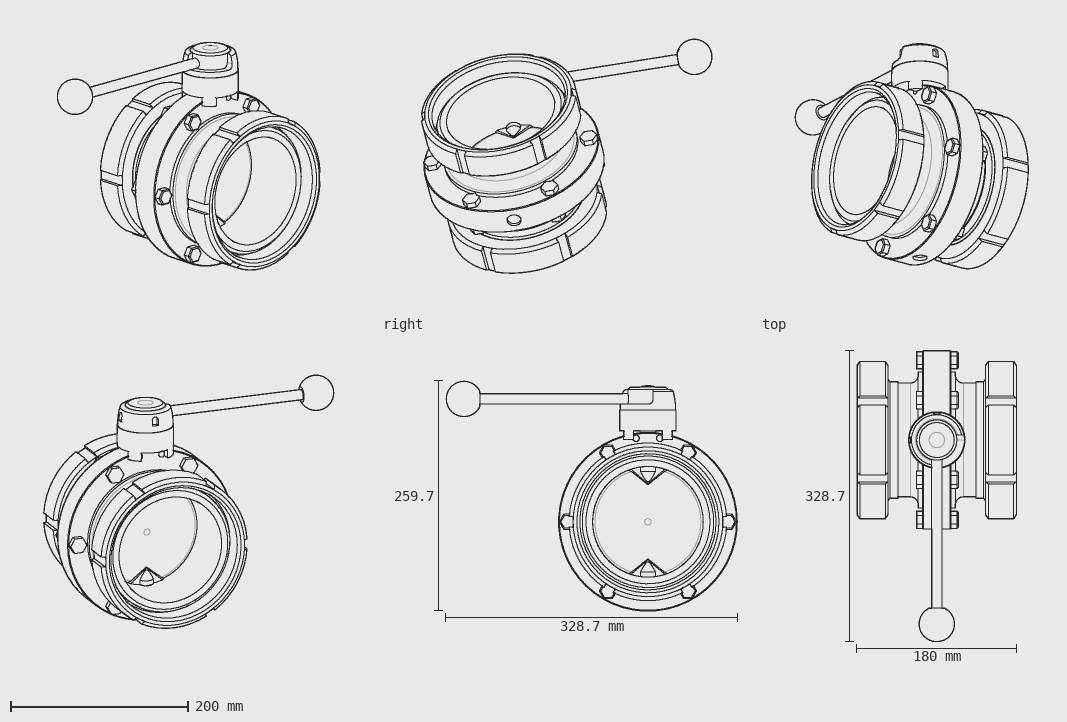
import cadquery as cq
import math


bore_radius = 62.5
flange_radius = 101.0
flange_width = 32.2
flange_edge_chamfer = 1.0
hub_radius = 77.0
hub_half_width = 21.0
neck_radius = 64.5
neck_shoulder_rise = 9.0
neck_start = 30.0
neck_end = 44.0

bolt_count = 6
bolt_circle_radius = 90.0
bolt_across_corners = 19.7
bolt_head_height = 6.5
bolt_nut_height = 8.2
bolt_nut_bevel = 1.3

cross_hole_diameter = 7.2
cross_hole_y = 13.5
cross_hole_z = 94.5

valve_half_length = 90.0
pipe_radius = 66.0
pipe_end = 53.0
collar_neck_radius = 137.0 / 2
collar_radius = 74.3
collar_face_radius = 70.0
collar_face_x = 75.3
nut_length = 35.2
nut_outer_radius = 89.0
nut_face_radius = 84.5
nut_chamfer_length = 3.3
nut_thread_radius = 77.0
nut_mouth_radius = 80.2
nut_back_bore_radius = 69.0
nut_back_wall = 9.5
nut_slot_count = 6
nut_slot_width = 11.8
nut_back_x = valve_half_length - nut_length
nut_shoulder_x = nut_back_x + nut_back_wall

disc_face_radius = 59.8
disc_rim_half_width = 1.0
disc_edge_half_width = 2.0
disc_crown_half_width = 4.5
disc_crown_radius = 3.5
stem_radius = 18.0 / 2
stem_top_z = 125.0
lower_stem_radius = 8.0
lower_stem_end_z = 97.0
boss_tip_z = 41.7
boss_cone_z = 56.5
boss_flank_root_z = 38.0
boss_flank_half_width = 28.3
boss_flank_height = 3.5
boss_flank_taper = 45.0

cap_radius = 32.0
cap_leg_z = 92.7
cap_bottom_z = 102.5
cap_step_z = 126.2
cap_upper_radius = 31.2
cap_bulge_radius = 30.5
cap_bulge_z = 139.0
cap_shoulder_radius = 28.5
cap_shoulder_z = 147.3
cap_rim_middle_radius = 26.5
cap_rim_middle_z = 149.0
cap_rim_radius = 24.0
cap_rim_z = 149.5

pocket_width = 7.2
pocket_bottom_z = 134.0
pocket_height = 10.0
pocket_floor_radius = 26.3

lever_hub_radius = 22.7
lever_hub_bottom_z = 118.3
crown_radius = 19.7
crown_z = 152.2
button_radius = 17.5 / 2
button_height = 1.5
rod_radius = 6.0
rod_z = 138.7

ball_radius = 20.0
ball_y = -207.7
ball_flat_y = -189.7


def revolve_about_x(profile):
    """Revolve a profile given as X = axial place, Y = radius."""
    return profile.close().revolve(360, (0, 0, 0), (1, 0, 0))


def make_side_pipe():
    """Solid of hub, neck and coned collar on the +X side, without the bore."""
    shoulder_radius = neck_radius + neck_shoulder_rise
    run = neck_start - hub_half_width
    arc_radius = (run ** 2 + neck_shoulder_rise ** 2) / (2 * neck_shoulder_rise)
    half_angle = math.asin(run / arc_radius) / 2
    middle_x = neck_start - arc_radius * math.sin(half_angle)
    middle_radius = neck_radius + arc_radius * (1 - math.cos(half_angle))
    cone_length = collar_radius - collar_face_radius
    return revolve_about_x(
        cq.Workplane("XY")
        .lineTo(0, hub_radius)
        .lineTo(hub_half_width, hub_radius)
        .lineTo(hub_half_width, shoulder_radius)
        .threePointArc((middle_x, middle_radius), (neck_start, neck_radius))
        .lineTo(neck_end, neck_radius)
        .lineTo(neck_end, pipe_radius)
        .lineTo(pipe_end, pipe_radius)
        .lineTo(nut_back_x, collar_neck_radius)
        .lineTo(nut_shoulder_x, collar_neck_radius)
        .lineTo(nut_shoulder_x, collar_radius)
        .lineTo(collar_face_x - cone_length, collar_radius)
        .lineTo(collar_face_x, collar_face_radius)
        .lineTo(collar_face_x, 0)
    )


def make_hexagons(start_x, height):
    """Hexagonal heads on the bolt circle, each with a corner pointing outward."""
    return (
        cq.Workplane("YZ", origin=(start_x, 0, 0))
        .polarArray(bolt_circle_radius, 0, 360, bolt_count)
        .polygon(bolt_count, bolt_across_corners)
        .extrude(height)
    )


def make_body():
    """Flange with its bolts and both pipe ends, bored for the disc and its stems."""
    flange = (
        cq.Workplane("YZ", origin=(-flange_width / 2, 0, 0))
        .circle(flange_radius)
        .extrude(flange_width)
        .edges()
        .chamfer(flange_edge_chamfer)
    )
    heads = make_hexagons(-flange_width / 2 - bolt_head_height, bolt_head_height)
    nuts = make_hexagons(flange_width / 2, bolt_nut_height).faces(">X").chamfer(bolt_nut_bevel)
    pipe = make_side_pipe()
    bore = (
        cq.Workplane("YZ", origin=(-valve_half_length, 0, 0))
        .circle(bore_radius)
        .extrude(2 * valve_half_length)
    )
    upper_stem_bore = cq.Workplane("XY").circle(stem_radius).extrude(flange_radius)
    lower_stem_bore = cq.Workplane("XY").circle(lower_stem_radius).extrude(-flange_radius)
    cross_holes = (
        cq.Workplane("YZ")
        .pushPoints([(-cross_hole_y, cross_hole_z), (cross_hole_y, cross_hole_z)])
        .circle(cross_hole_diameter / 2)
        .extrude(flange_width, both=True)
    )
    solid = flange.union(pipe).union(pipe.mirror("YZ")).union(heads).union(nuts)
    return solid.cut(bore).cut(upper_stem_bore).cut(lower_stem_bore).cut(cross_holes)


def make_union_nut():
    """Slotted union nut on the +X side, behind the pipe collar."""
    mouth_depth = nut_mouth_radius - nut_thread_radius
    nut = revolve_about_x(
        cq.Workplane("XY")
        .moveTo(nut_back_x, nut_back_bore_radius)
        .lineTo(nut_back_x, nut_face_radius)
        .lineTo(nut_back_x + nut_chamfer_length, nut_outer_radius)
        .lineTo(valve_half_length - nut_chamfer_length, nut_outer_radius)
        .lineTo(valve_half_length, nut_face_radius)
        .lineTo(valve_half_length, nut_mouth_radius)
        .lineTo(valve_half_length - mouth_depth, nut_thread_radius)
        .lineTo(nut_shoulder_x, nut_thread_radius)
        .lineTo(nut_shoulder_x, nut_back_bore_radius)
    )
    slot_depth = nut_outer_radius - nut_face_radius
    slots = (
        cq.Workplane("YZ", origin=(nut_back_x, 0, 0))
        .polarArray(nut_face_radius + slot_depth, 0, 360, nut_slot_count)
        .rect(2 * slot_depth, nut_slot_width)
        .extrude(nut_length)
    )
    return nut.cut(slots)


def make_stem_boss():
    """Tapering boss, proud of both disc faces, where the upper stem leaves the disc."""
    tip_radius = disc_edge_half_width
    cone = (
        cq.Workplane("XZ")
        .moveTo(0, boss_tip_z)
        .lineTo(tip_radius, boss_tip_z)
        .lineTo(stem_radius, boss_cone_z)
        .lineTo(stem_radius, bore_radius)
        .lineTo(0, bore_radius)
        .close()
        .revolve(360, (0, 0, 0), (0, 1, 0))
    )
    for direction in (1, -1):
        flank = (
            cq.Workplane("YZ")
            .polyline([
                (0, boss_flank_root_z),
                (boss_flank_half_width, bore_radius),
                (boss_flank_half_width, bore_radius + boss_flank_half_width),
                (-boss_flank_half_width, bore_radius + boss_flank_half_width),
                (-boss_flank_half_width, bore_radius),
            ])
            .close()
            .extrude(direction * boss_flank_height, taper=boss_flank_taper)
        )
        cone = cone.union(flank)
    return cone


def make_disc():
    """Closed disc with conical faces, its bosses and its two stems."""
    plate = revolve_about_x(
        cq.Workplane("XY")
        .moveTo(-disc_crown_half_width, 0)
        .lineTo(-disc_crown_half_width, disc_crown_radius)
        .lineTo(-disc_edge_half_width, disc_face_radius)
        .lineTo(-disc_rim_half_width, bore_radius)
        .lineTo(disc_rim_half_width, bore_radius)
        .lineTo(disc_edge_half_width, disc_face_radius)
        .lineTo(disc_crown_half_width, disc_crown_radius)
        .lineTo(disc_crown_half_width, 0)
    )
    boss = make_stem_boss()
    bosses = boss.union(boss.mirror("XY"))
    bore_space = cq.Workplane("YZ").circle(bore_radius).extrude(bore_radius, both=True)
    upper_stem = cq.Workplane("XY", origin=(0, 0, boss_cone_z)).circle(stem_radius)
    lower_stem = cq.Workplane("XY", origin=(0, 0, -boss_cone_z)).circle(lower_stem_radius)
    return (
        plate.union(bosses.intersect(bore_space))
        .union(upper_stem.extrude(stem_top_z - boss_cone_z))
        .union(lower_stem.extrude(boss_cone_z - lower_stem_end_z))
    )


def make_cap_blank():
    """Round cap, open at the top for the lever hub."""
    return (
        cq.Workplane("XZ")
        .moveTo(0, cap_leg_z)
        .lineTo(cap_radius, cap_leg_z)
        .lineTo(cap_radius, cap_step_z)
        .lineTo(cap_upper_radius, cap_step_z)
        .threePointArc((cap_bulge_radius, cap_bulge_z), (cap_shoulder_radius, cap_shoulder_z))
        .threePointArc((cap_rim_middle_radius, cap_rim_middle_z), (cap_rim_radius, cap_rim_z))
        .lineTo(lever_hub_radius, cap_rim_z)
        .lineTo(lever_hub_radius, lever_hub_bottom_z)
        .lineTo(0, lever_hub_bottom_z)
        .close()
        .revolve(360, (0, 0, 0), (0, 1, 0))
    )


def make_leg_gaps():
    """Crossed slots that straddle the flange and leave four corner legs."""
    height = cap_bottom_z - cap_leg_z
    across = 2 * cap_radius
    start = cq.Workplane("XY", origin=(0, 0, cap_leg_z))
    gap_along_y = start.rect(flange_width, across).extrude(height)
    gap_along_x = start.rect(across, flange_width).extrude(height)
    return gap_along_y.union(gap_along_x)


def make_swing_slot():
    """Quarter-turn slot from -Y to +X, open upward, with round-bottomed ends."""
    reach = 2 * cap_radius
    floor_z = rod_z - rod_radius
    top_height = cap_rim_z - floor_z
    floor = cq.Workplane("XY", origin=(0, 0, floor_z))
    quarter = floor.rect(reach, -reach, centered=False).extrude(top_height)
    x_end = cq.Workplane("YZ", origin=(0, 0, rod_z)).circle(rod_radius).extrude(reach)
    y_end = cq.Workplane("XZ", origin=(0, 0, rod_z)).circle(rod_radius).extrude(reach)
    above_axis = cq.Workplane("XY", origin=(0, 0, rod_z))
    open_corner = (
        above_axis.center(-rod_radius, rod_radius).rect(reach, -reach, centered=False).extrude(top_height)
    )
    return quarter.union(x_end).union(y_end).union(open_corner)


def make_index_pocket():
    """Pocket in the -X side of the cap, with a flat bottom and an arched top."""
    half_width = pocket_width / 2
    arch_z = pocket_bottom_z + pocket_height - half_width
    return (
        cq.Workplane("YZ", origin=(-pocket_floor_radius, 0, 0))
        .moveTo(-half_width, pocket_bottom_z)
        .lineTo(half_width, pocket_bottom_z)
        .lineTo(half_width, arch_z)
        .threePointArc((0, arch_z + half_width), (-half_width, arch_z))
        .close()
        .extrude(pocket_floor_radius - 2 * cap_radius)
    )


def make_stem_socket():
    """Room for the upper stem inside the cap and the lever hub."""
    return cq.Workplane("XY", origin=(0, 0, cap_leg_z)).circle(stem_radius).extrude(stem_top_z - cap_leg_z)


def make_cap():
    """Cap with legs over the flange, the swing slot and pockets at -X and +Y."""
    cap = make_cap_blank().cut(make_leg_gaps()).cut(make_stem_socket()).cut(make_swing_slot())
    pocket = make_index_pocket()
    for turn in (0, -90):
        cap = cap.cut(pocket.rotate((0, 0, 0), (0, 0, 1), turn))
    return cap


def make_rod():
    """Round rod from the stem axis to the ball centre."""
    return cq.Workplane("XZ", origin=(0, 0, rod_z)).circle(rod_radius).extrude(-ball_y)


def make_lever():
    """Hub with a domed button on its crown, and the rod that leaves it toward -Y."""
    button_z = crown_z + button_height
    sphere_radius = (button_radius ** 2 + button_height ** 2) / (2 * button_height)
    middle_radius = button_radius / 2
    middle_drop = sphere_radius - math.sqrt(sphere_radius ** 2 - middle_radius ** 2)
    hub = (
        cq.Workplane("XZ")
        .moveTo(0, lever_hub_bottom_z)
        .lineTo(lever_hub_radius, lever_hub_bottom_z)
        .lineTo(lever_hub_radius, cap_rim_z)
        .lineTo(crown_radius, crown_z)
        .lineTo(button_radius, crown_z)
        .threePointArc((middle_radius, button_z - middle_drop), (0, button_z))
        .close()
        .revolve(360, (0, 0, 0), (0, 1, 0))
    )
    return hub.union(make_rod()).cut(make_stem_socket())


def make_ball():
    """Ball knob with a flat toward the hub and a blind hole for the rod."""
    beyond_flat = (
        cq.Workplane("XZ", origin=(0, ball_flat_y, rod_z)).circle(ball_radius).extrude(-ball_radius)
    )
    ball = cq.Workplane("XY").sphere(ball_radius).translate((0, ball_y, rod_z))
    return ball.cut(beyond_flat).cut(make_rod())


body = make_body()
disc = make_disc()
cap = make_cap()
lever = make_lever()
ball = make_ball()
union_nuts = []
for side_turn in (0, 180):
    union_nuts.append(make_union_nut().rotate((0, 0, 0), (0, 0, 1), side_turn).val())

result = cq.Compound.makeCompound([body.val(), disc.val(), cap.val(), lever.val(), ball.val(), *union_nuts])